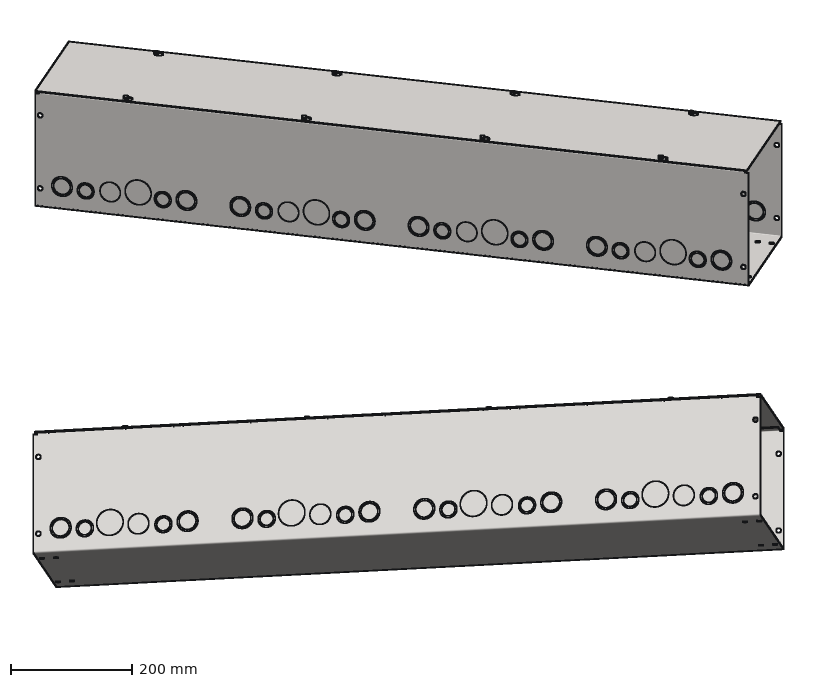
import cadquery as cq

LENGTH = 1219.2
WIDTH = 208.53
HEIGHT = 212.27
SHEET = 1.9
BEND_INNER_RADIUS = 0.6 * SHEET
BEND_OUTER_RADIUS = BEND_INNER_RADIUS + SHEET

HEAD_DIAMETER = 7.94
HEAD_HEIGHT = 3.74
SHANK_DIAMETER = 4.09
SHANK_LENGTH = 9.5

COVER_TOP = HEIGHT - HEAD_HEIGHT
TROUGH_HEIGHT = COVER_TOP - SHEET

FLANGE_WIDTH = 17.5
COVER_END_GAP = 2.5
FLANGE_END_GAP = 6.35

SECTION_COUNT = 4
SECTION_PITCH = LENGTH / SECTION_COUNT
SCREW_OFFSET = SECTION_PITCH / 2
SCREW_INSET = 10.0
SCREW_POINTS = [
    (SCREW_OFFSET + section * SECTION_PITCH, side * (WIDTH / 2 - SCREW_INSET))
    for section in range(SECTION_COUNT)
    for side in (-1, 1)
]

ACCESS_DIAMETER = 14.3
ACCESS_OFFSET = 4.7

LARGE_RING = (34.92, 28.57)
SMALL_RING = (28.57, 22.23)
KNOCKOUT_ROW = [
    (46.0, LARGE_RING),
    (86.5, SMALL_RING),
    (128.4, (34.92,)),
    (176.2, (44.45,)),
    (218.3, SMALL_RING),
    (258.8, LARGE_RING),
]
KNOCKOUT_BASE = 23.8
KNOCKOUT_DEPTH = 0.4

JOINT_HOLE_DIAMETER = 7.94
JOINT_HOLE_INSET = 8.5
WALL_HOLE_HEIGHTS = (33.34, 164.9)
FLOOR_HOLE_INSET = WALL_HOLE_HEIGHTS[0]
MOUNT_HOLE_INSET = 32.0


def box(x0, x1, y0, y1, z0, z1):
    """A block between the given limits."""
    return cq.Workplane("XY").box(x1 - x0, y1 - y0, z1 - z0, centered=False).translate((x0, y0, z0))


def wall_cylinder(x, z, diameter, y0, y1):
    """A cylinder along Y from y0 to y1."""
    return cq.Workplane("XZ", origin=(x, y0, z)).circle(diameter / 2).extrude(y0 - y1)


def vertical_cylinders(points, diameter, z0, z1):
    """Separate cylinders along Z from z0 to z1, one at each (X, Y) point."""
    return cq.Workplane("XY", origin=(0, 0, z0)).pushPoints(points).circle(diameter / 2).extrude(z1 - z0)


def make_bent_channel():
    """Floor, two side walls and two inward top flanges, folded from one sheet."""
    half = WIDTH / 2
    channel = box(0, LENGTH, -half, half, 0, TROUGH_HEIGHT).edges("|X").fillet(BEND_OUTER_RADIUS)
    inside = box(0, LENGTH, SHEET - half, half - SHEET, SHEET, TROUGH_HEIGHT - SHEET)
    channel = channel.cut(inside.edges("|X").fillet(BEND_INNER_RADIUS))
    opening = half - FLANGE_WIDTH
    channel = channel.cut(box(0, LENGTH, -opening, opening, TROUGH_HEIGHT - SHEET, TROUGH_HEIGHT))

    wall_top = TROUGH_HEIGHT - BEND_OUTER_RADIUS
    for start in (0, LENGTH - FLANGE_END_GAP):
        channel = channel.cut(box(start, start + FLANGE_END_GAP, -half, half, wall_top, TROUGH_HEIGHT))
    return channel


def make_knockout_recess(x, side, diameters):
    """The shallow disc, or ring around a core, that marks one knockout on a wall's outer face."""
    z = KNOCKOUT_BASE + diameters[0] / 2
    outer = side * WIDTH / 2
    bottom = outer - side * KNOCKOUT_DEPTH
    recess = wall_cylinder(x, z, diameters[0], outer, bottom)
    for core in diameters[1:]:
        recess = recess.cut(wall_cylinder(x, z, core, outer, bottom))
    return recess.val()


def make_trough():
    channel = make_bent_channel().val()
    cutters = [
        make_knockout_recess(section * SECTION_PITCH + offset, side, diameters)
        for section in range(SECTION_COUNT)
        for offset, diameters in KNOCKOUT_ROW
        for side in (-1, 1)
    ]

    end_xs = (JOINT_HOLE_INSET, LENGTH - JOINT_HOLE_INSET)
    for x in end_xs:
        for z in WALL_HOLE_HEIGHTS:
            cutters.append(wall_cylinder(x, z, JOINT_HOLE_DIAMETER, -WIDTH / 2, WIDTH / 2).val())

    floor_y = WIDTH / 2 - FLOOR_HOLE_INSET
    mount_xs = (MOUNT_HOLE_INSET, LENGTH - MOUNT_HOLE_INSET)
    floor_points = [(x, y) for x in end_xs + mount_xs for y in (-floor_y, floor_y)]
    cutters += vertical_cylinders(floor_points, JOINT_HOLE_DIAMETER, 0, SHEET).vals()
    cutters += vertical_cylinders(SCREW_POINTS, SHANK_DIAMETER, TROUGH_HEIGHT - SHEET, TROUGH_HEIGHT).vals()
    return cq.Workplane(channel.cut(*cutters))


def make_cover():
    cover = box(0, LENGTH - COVER_END_GAP, -WIDTH / 2, WIDTH / 2, TROUGH_HEIGHT, COVER_TOP)
    access_points = [(x + ACCESS_OFFSET, y) for x, y in SCREW_POINTS]
    return cover.cut(vertical_cylinders(access_points, ACCESS_DIAMETER, TROUGH_HEIGHT, COVER_TOP))


def make_screw(point):
    head = vertical_cylinders([point], HEAD_DIAMETER, COVER_TOP, HEIGHT)
    return head.union(vertical_cylinders([point], SHANK_DIAMETER, COVER_TOP - SHANK_LENGTH, COVER_TOP))


trough = make_trough()
cover = make_cover()
screws = [make_screw(point).val() for point in SCREW_POINTS]

result = cq.Compound.makeCompound([trough.val(), cover.val(), *screws])